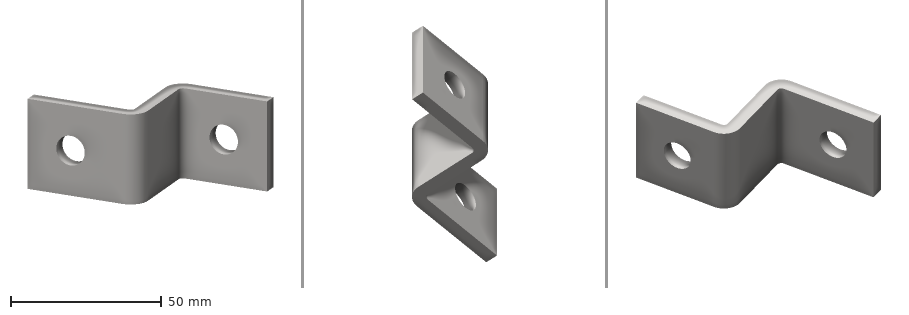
import cadquery as cq

length = 73.05
depth = 36.5
height = 31.8

thickness = 4.75
inner_radius = 1.6
outer_radius = inner_radius + thickness
web_right = 41.2
web_left = web_right - thickness

hole_diameter = 10.45
front_hole_x = 15.8
rear_hole_x = 57.05


def bent_sheet():
    """Z-shaped strip standing on the XY plane, with rounded bends."""
    outline = [
        (0, 0),
        (web_right, 0),
        (web_right, depth - thickness),
        (length, depth - thickness),
        (length, depth),
        (web_left, depth),
        (web_left, thickness),
        (0, thickness),
    ]
    sheet = cq.Workplane("XY").polyline(outline).close().extrude(height)

    outer_corners = [(web_right, 0), (web_left, depth)]
    inner_corners = [(web_left, thickness), (web_right, depth - thickness)]
    for corners, radius in ((outer_corners, outer_radius), (inner_corners, inner_radius)):
        for x, y in corners:
            edge = cq.selectors.NearestToPointSelector((x, y, height / 2))
            sheet = sheet.edges("|Z").edges(edge).fillet(radius)
    return sheet


def bolt_holes():
    """Cylinders along Y at mid height, passing through both flanges."""
    return (
        cq.Workplane("XZ")
        .pushPoints([(x, height / 2) for x in (front_hole_x, rear_hole_x)])
        .circle(hole_diameter / 2)
        .extrude(-depth)
    )


result = bent_sheet().cut(bolt_holes())